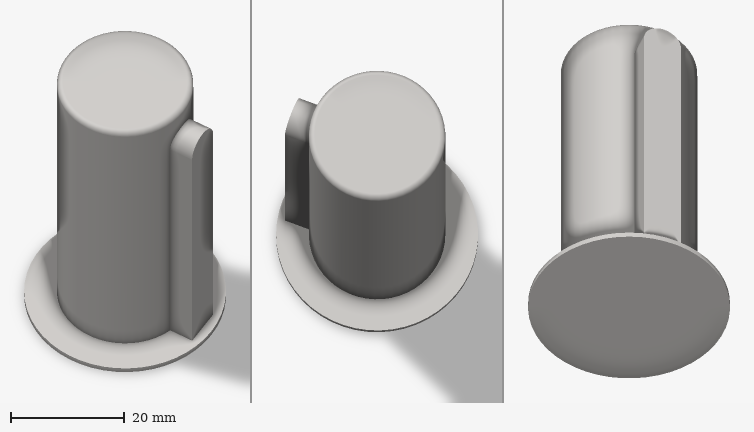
import cadquery as cq

flange_diameter = 35.5
flange_thickness = 1.0
body_diameter = 24.0
total_height = 58.5
top_fillet = 1.0
rib_width = 7.0
rib_reach = 16.0
rib_top = 54.0

rib_radius = rib_width / 2
rib_round_start = rib_top - rib_radius


def make_flange():
    """Thin round base plate."""
    return cq.Workplane("XY").circle(flange_diameter / 2).extrude(flange_thickness)


def make_body():
    """Upright cylinder with a rounded top edge."""
    body = cq.Workplane("XY").circle(body_diameter / 2).extrude(total_height)
    return body.faces(">Z").edges().fillet(top_fillet)


def make_rib():
    """Vertical rib on the +X side, its upper end a full round about the X direction."""
    return (
        cq.Workplane("YZ")
        .moveTo(-rib_radius, 0)
        .lineTo(rib_radius, 0)
        .lineTo(rib_radius, rib_round_start)
        .threePointArc((0, rib_top), (-rib_radius, rib_round_start))
        .close()
        .extrude(rib_reach)
    )


result = make_flange().union(make_body()).union(make_rib())